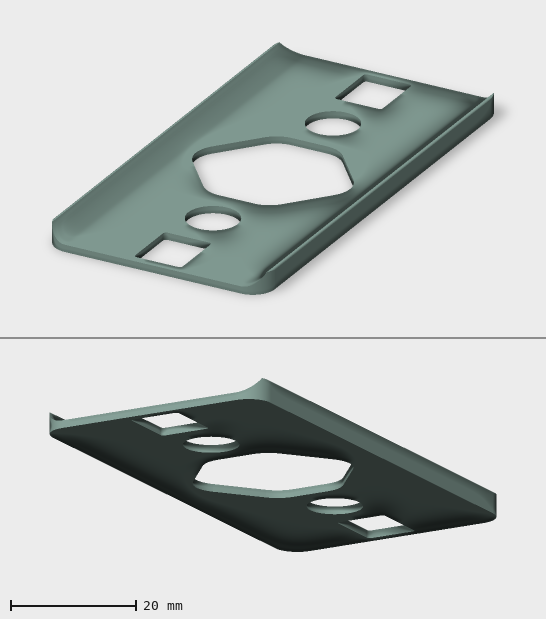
import cadquery as cq
import math

width = 40.0
length = 80.0
height = 3.7
floor_thickness = 1.3
corner_radius = 4.0

floor_half_width = width / 2 - corner_radius
rim_width = 0.5
rim_edge_radius = 0.2

window_half_height = 12.1
window_tip_x = 15.5
window_flat_half_width = 5.6
window_radius = 5.0

hole_diameter = 9.0
hole_y = length / 4
slot_width = 8.6
slot_length = 10.3
slot_radius = 0.6
slot_y = 33.4


def channel_body():
    """Floor and rims with rounded outer rim edges and vertical corners."""
    rim_inner_x = width / 2 - rim_width
    rise = height - floor_thickness
    run = rim_inner_x - floor_half_width
    arc_radius = (run**2 + rise**2) / (2 * rise)
    half_sweep = math.asin(run / arc_radius) / 2
    arc_mid_x = floor_half_width + arc_radius * math.sin(half_sweep)
    arc_mid_z = floor_thickness + arc_radius * (1 - math.cos(half_sweep))
    section = (
        cq.Workplane("XZ")
        .moveTo(-width / 2, 0)
        .lineTo(width / 2, 0)
        .lineTo(width / 2, height - rim_edge_radius)
        .radiusArc((width / 2 - rim_edge_radius, height), -rim_edge_radius)
        .lineTo(rim_inner_x, height)
        .threePointArc((arc_mid_x, arc_mid_z), (floor_half_width, floor_thickness))
        .lineTo(-floor_half_width, floor_thickness)
        .threePointArc((-arc_mid_x, arc_mid_z), (-rim_inner_x, height))
        .lineTo(-width / 2 + rim_edge_radius, height)
        .radiusArc((-width / 2, height - rim_edge_radius), -rim_edge_radius)
        .close()
        .extrude(length / 2, both=True)
    )
    rounded_blank = (
        cq.Workplane("XY")
        .rect(width, length)
        .extrude(height)
        .edges("|Z")
        .fillet(corner_radius)
    )
    return section.intersect(rounded_blank)


def window_cutter():
    """Hexagonal prism with its tips on the X axis."""
    corners = [
        (window_tip_x, 0),
        (window_flat_half_width, window_half_height),
        (-window_flat_half_width, window_half_height),
        (-window_tip_x, 0),
        (-window_flat_half_width, -window_half_height),
        (window_flat_half_width, -window_half_height),
    ]
    prism = cq.Workplane("XY").polyline(corners).close().extrude(height)
    return prism.edges("|Z").fillet(window_radius)


def hole_cutters():
    """Pair of round through holes."""
    centers = [(0, hole_y), (0, -hole_y)]
    return cq.Workplane("XY").pushPoints(centers).circle(hole_diameter / 2).extrude(height)


def slot_cutters():
    """Pair of rectangular through slots with small corner radii."""
    slots = (
        cq.Workplane("XY")
        .pushPoints([(0, slot_y), (0, -slot_y)])
        .rect(slot_width, slot_length)
        .extrude(height)
    )
    return slots.edges("|Z").fillet(slot_radius)


result = channel_body().cut(window_cutter()).cut(hole_cutters()).cut(slot_cutters())